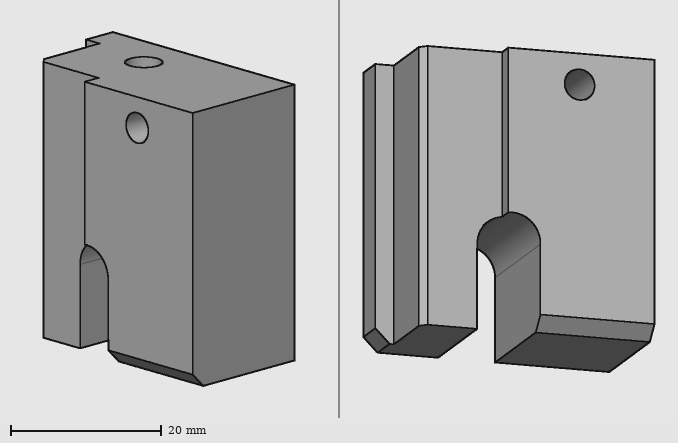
import cadquery as cq

width = 34.5
depth = 19.0
height = 38.3

flange_thickness = 5.0
side_step = 2.6
front_step = side_step
pad_left = 13.98
corner_chamfer = 0.92

bottom_bevel = 2.0

slot_width = 8.0
slot_center_x = 14.48
slot_height = 15.7

cross_hole_diameter = 4.2
cross_hole_x = 23.98
cross_hole_drop = 4.3

top_hole_diameter = 5.0
top_hole_x = 13.0
top_hole_y = 12.03
top_hole_depth = 2 * top_hole_diameter


def stepped_block():
    """Upright block with its front-left corner at the origin."""
    return (
        cq.Workplane("XY")
        .moveTo(pad_left, 0)
        .lineTo(width, 0)
        .lineTo(width, depth)
        .lineTo(0, depth)
        .lineTo(0, depth - flange_thickness)
        .lineTo(side_step, depth - flange_thickness)
        .lineTo(side_step, front_step + corner_chamfer)
        .lineTo(side_step + corner_chamfer, front_step)
        .lineTo(pad_left, front_step)
        .close()
        .extrude(height)
    )


def bevel_wedge(plane, length):
    """Prism along the plane normal that bevels the edge at the origin by 45 degrees."""
    return (
        cq.Workplane(plane)
        .lineTo(bottom_bevel, 0)
        .lineTo(0, bottom_bevel)
        .close()
        .extrude(length)
    )


def bottom_slot():
    """Round-topped slot running through the full depth."""
    radius = slot_width / 2
    spring_line = slot_height - radius
    return (
        cq.Workplane("XZ")
        .moveTo(slot_center_x - radius, 0)
        .lineTo(slot_center_x - radius, spring_line)
        .threePointArc((slot_center_x, slot_height), (slot_center_x + radius, spring_line))
        .lineTo(slot_center_x + radius, 0)
        .close()
        .extrude(-depth)
    )


def cross_hole():
    """Round hole running through the full depth."""
    return (
        cq.Workplane("XZ")
        .center(cross_hole_x, height - cross_hole_drop)
        .circle(cross_hole_diameter / 2)
        .extrude(-depth)
    )


def top_hole():
    """Flat-bottomed hole sunk from the top face."""
    return (
        cq.Workplane("XY", origin=(top_hole_x, top_hole_y, height))
        .circle(top_hole_diameter / 2)
        .extrude(-top_hole_depth)
    )


flange_bevel = bevel_wedge("XZ", -depth)
pad_bevel = bevel_wedge("YZ", width)

result = (
    stepped_block()
    .cut(flange_bevel)
    .cut(pad_bevel)
    .cut(bottom_slot())
    .cut(cross_hole())
    .cut(top_hole())
)